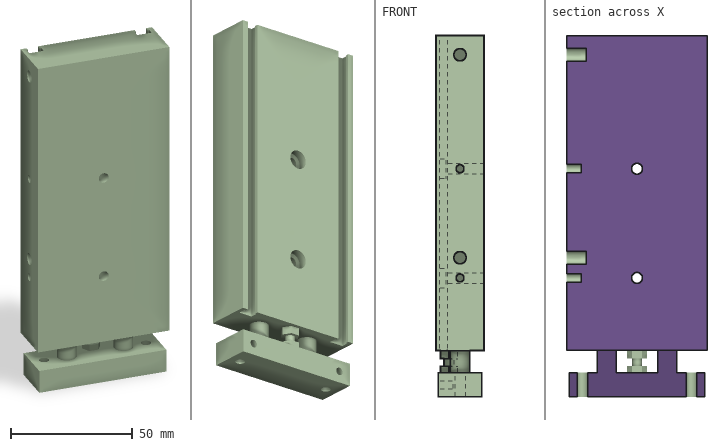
import cadquery as cq

total_height = 149.0
housing_depth = 20.0
housing_width = 58.0
housing_bottom = 19.0

slot_offset = 23.8
slot_mouth_width = 5.0
slot_width = 6.4
slot_lip = 1.5
slot_depth = 4.8

mount_heights = (49.0, 94.0)
mount_diameter = 4.3
counterbore_diameter = 8.0
counterbore_depth = 4.0

port_heights = (57.4, 141.0)
port_diameter = 5.0
port_depth = 8.0
side_hole_diameter = 3.3
side_hole_depth = 6.0

plate_depth = 18.0
plate_width = 56.0
plate_height = 10.0
plate_hole_offset = 22.5
plate_cross_hole_diameter = 3.3
plate_cross_hole_depth = 6.0
plate_upright_hole_diameter = 4.2
rod_diameter = 8.0
rod_offset = 12.5

bolt_x = -4.6
bolt_diameter = 4.0
hex_across_corners = 8.0
nut_height = 2.7
head_height = 3.3

housing_height = total_height - housing_bottom
housing_face_x = -housing_depth / 2
housing_side_y = -housing_width / 2
rod_gap = housing_bottom - plate_height


def bore_along_x(diameter, length, start_x, y, z):
    return (cq.Workplane("YZ", origin=(start_x, y, z))
            .circle(diameter / 2).extrude(length))


def bore_along_y(diameter, depth, z):
    """Blind bore entering the housing from its -Y side."""
    return (cq.Workplane("XZ", origin=(0, housing_side_y, z))
            .circle(diameter / 2).extrude(-depth))


def slot_cutter(y):
    """T-shaped channel: a narrow mouth opening into a wider cavity."""
    mouth = (cq.Workplane("XY")
             .box(slot_depth, slot_mouth_width, housing_height, centered=(False, True, False)))
    cavity = (cq.Workplane("XY", origin=(slot_lip, 0, 0))
              .box(slot_depth - slot_lip, slot_width, housing_height, centered=(False, True, False)))
    return mouth.union(cavity).translate((housing_face_x, y, housing_bottom))


def make_housing():
    body = (cq.Workplane("XY", origin=(0, 0, housing_bottom))
            .box(housing_depth, housing_width, housing_height, centered=(True, True, False)))
    for side in (-1, 1):
        body = body.cut(slot_cutter(side * slot_offset))
    for z in mount_heights:
        body = body.cut(bore_along_x(mount_diameter, housing_depth, housing_face_x, 0, z))
        body = body.cut(bore_along_x(counterbore_diameter, counterbore_depth, housing_face_x, 0, z))
        body = body.cut(bore_along_y(side_hole_diameter, side_hole_depth, z))
    for z in port_heights:
        body = body.cut(bore_along_y(port_diameter, port_depth, z))
    return body


def make_rod_plate():
    """End plate and the two guide rods as one body."""
    plate = (cq.Workplane("XY")
             .box(plate_depth, plate_width, plate_height, centered=(True, True, False)))
    for side in (-1, 1):
        hole_y = side * plate_hole_offset
        plate = plate.cut(bore_along_x(plate_cross_hole_diameter, plate_cross_hole_depth,
                                       -plate_depth / 2, hole_y, plate_height / 2))
        upright_hole = (cq.Workplane("XY", origin=(0, hole_y, 0))
                        .circle(plate_upright_hole_diameter / 2).extrude(plate_height))
        rod = (cq.Workplane("XY", origin=(0, side * rod_offset, plate_height))
               .circle(rod_diameter / 2).extrude(rod_gap))
        plate = plate.cut(upright_hole).union(rod)
    return plate


def hexagon(bottom, height):
    """Hexagonal prism on the bolt axis with two corners pointing along Y."""
    return (cq.Workplane("XY", origin=(bolt_x, 0, bottom))
            .transformed(rotate=(0, 0, 90))
            .polygon(6, hex_across_corners).extrude(height))


def make_stopper_bolt():
    shank = (cq.Workplane("XY", origin=(bolt_x, 0, plate_height))
             .circle(bolt_diameter / 2).extrude(rod_gap))
    nut = hexagon(plate_height, nut_height)
    head = hexagon(housing_bottom - head_height, head_height)
    return shank.union(nut).union(head)


housing = make_housing()
rod_plate = make_rod_plate()
stopper_bolt = make_stopper_bolt()

result = cq.Compound.makeCompound([housing.val(), rod_plate.val(), stopper_bolt.val()])